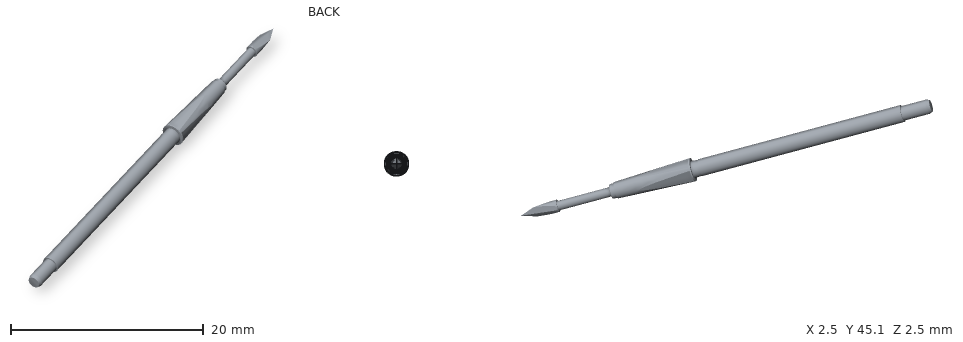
import cadquery as cq

total_length = 45.1
tip_y = total_length / 2

head_end = 4.1
shaft_end = 9.9
collar_end = 10.45
sleeve_end = 18.8
flange_end = 18.95
neck_end = 19.75
tube_end = 42.0
tail_taper_start = 44.75

head_diameter = 1.3
shaft_diameter = 1.0
collar_diameter = 1.6
collar_chamfer = 0.068
sleeve_front_diameter = 1.75
flange_diameter = 2.5
neck_front_diameter = 1.8
neck_back_diameter = 1.7
tube_diameter = 1.8
tail_diameter = 1.55
tail_end_diameter = 1.25

sleeve_flat_width = 2.0

side_ridge_length = 1.6
top_ridge_length = 3.8


def cone_section(front, back, front_diameter, back_diameter):
    """Round section between two distances behind the tip."""
    return (
        cq.Workplane("XZ", origin=(0, tip_y - front, 0))
        .circle(front_diameter / 2)
        .workplane(offset=back - front)
        .circle(back_diameter / 2)
        .loft(ruled=True)
    )


def round_section(front, back, diameter):
    """Cylinder between two distances behind the tip."""
    return (
        cq.Workplane("XZ", origin=(0, tip_y - front, 0))
        .circle(diameter / 2)
        .extrude(back - front)
    )


def make_head():
    """Round head cut by four planes through the tip, leaving a rhombic point."""
    head = round_section(0, head_end, head_diameter)
    side_slope = side_ridge_length / (head_diameter / 2)
    top_slope = top_ridge_length / (head_diameter / 2)
    cutter_size = 4 * head_end
    for side in (-1, 1):
        for level in (-1, 1):
            face_plane = cq.Plane(
                origin=(0, tip_y, 0),
                normal=(side * side_slope, 1, level * top_slope),
            )
            outside = cq.Workplane(face_plane).rect(cutter_size, cutter_size).extrude(head_end)
            head = head.cut(outside)
    return head


def make_sleeve():
    """Cone widening to the flange, trimmed to a square by four flats."""
    length = sleeve_end - collar_end
    cone = cone_section(collar_end, sleeve_end, sleeve_front_diameter, flange_diameter)
    square = (
        cq.Workplane("XZ", origin=(0, tip_y - collar_end, 0))
        .rect(sleeve_flat_width, sleeve_flat_width)
        .extrude(length)
    )
    return cone.intersect(square)


def make_collar():
    """Short collar with a bevelled front rim."""
    collar = round_section(shaft_end, collar_end, collar_diameter)
    return collar.faces(">Y").edges().chamfer(collar_chamfer)


def make_tail():
    """Slimmer rear end closing with a short taper."""
    straight = round_section(tube_end, tail_taper_start, tail_diameter)
    taper = cone_section(tail_taper_start, total_length, tail_diameter, tail_end_diameter)
    return straight.union(taper)


result = (
    make_head()
    .union(round_section(head_end, shaft_end, shaft_diameter))
    .union(make_collar())
    .union(make_sleeve())
    .union(round_section(sleeve_end, flange_end, flange_diameter))
    .union(cone_section(flange_end, neck_end, neck_front_diameter, neck_back_diameter))
    .union(round_section(neck_end, tube_end, tube_diameter))
    .union(make_tail())
)